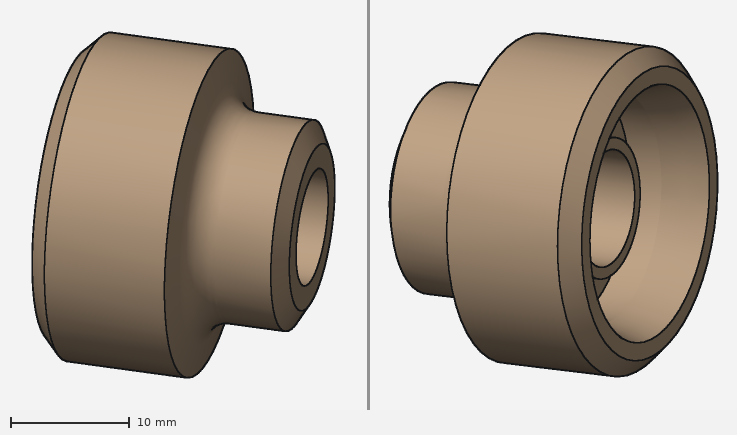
import cadquery as cq
import math

total_length = 21.0
rim_length = 12.0
mouth_depth = 4.0
recess_depth = 7.0

rim_radius = 28.0 / 2
hub_radius = 18.0 / 2
recess_radius = 19.8 / 2
boss_radius = 12.0 / 2
bore_radius = 10.0 / 2

rim_chamfer = 1.5
hub_chamfer_length = 1.1
hub_chamfer_angle = math.radians(60)
mouth_taper = math.radians(15)
shoulder_slope = math.radians(10)
neck_fillet = 2.5

mouth_radius = recess_radius + mouth_depth * math.tan(mouth_taper)
hub_end_radius = hub_radius - hub_chamfer_length * math.tan(hub_chamfer_angle)


def revolve_about_x(profile):
    return profile.close().revolve(360, (0, 0, 0), (1, 0, 0))


def make_body():
    """Solid rim and hub joined by a sloping shoulder with a tangent fillet."""
    fillet_center_radius = hub_radius + neck_fillet
    tangent_radius = fillet_center_radius - neck_fillet * math.sin(shoulder_slope)
    tangent_x = rim_length + (rim_radius - tangent_radius) * math.tan(shoulder_slope)
    fillet_end_x = tangent_x + neck_fillet * math.cos(shoulder_slope)

    middle_angle = (math.pi / 2 + shoulder_slope) / 2
    middle_x = fillet_end_x - neck_fillet * math.cos(middle_angle)
    middle_radius = fillet_center_radius - neck_fillet * math.sin(middle_angle)

    profile = (
        cq.Workplane("XY")
        .moveTo(0, 0)
        .lineTo(0, rim_radius - rim_chamfer)
        .lineTo(rim_chamfer, rim_radius)
        .lineTo(rim_length, rim_radius)
        .lineTo(tangent_x, tangent_radius)
        .threePointArc((middle_x, middle_radius), (fillet_end_x, hub_radius))
        .lineTo(total_length - hub_chamfer_length, hub_radius)
        .lineTo(total_length, hub_end_radius)
        .lineTo(total_length, 0)
    )
    return revolve_about_x(profile)


def make_cavity():
    """Tapered mouth and straight recess around a boss, with a through bore."""
    profile = (
        cq.Workplane("XY")
        .moveTo(0, 0)
        .lineTo(0, mouth_radius)
        .lineTo(mouth_depth, recess_radius)
        .lineTo(recess_depth, recess_radius)
        .lineTo(recess_depth, boss_radius)
        .lineTo(mouth_depth, boss_radius)
        .lineTo(mouth_depth, bore_radius)
        .lineTo(total_length, bore_radius)
        .lineTo(total_length, 0)
    )
    return revolve_about_x(profile)


result = make_body().cut(make_cavity())